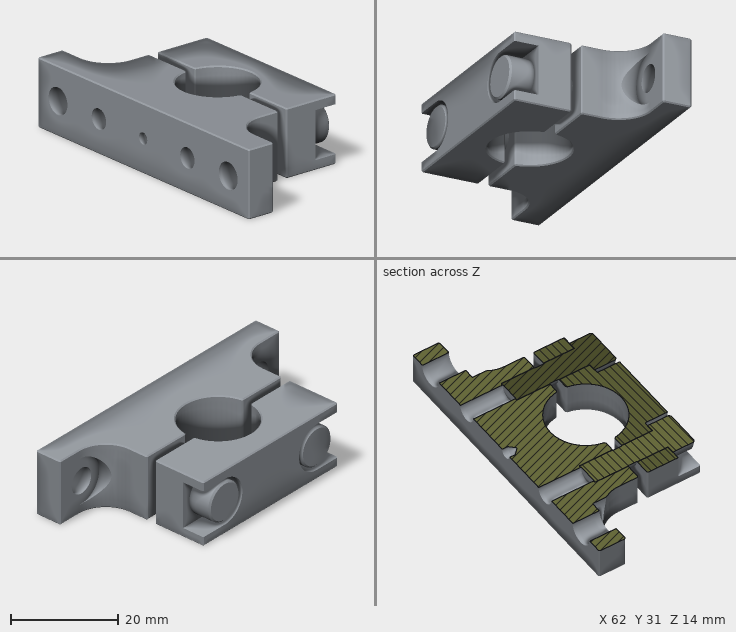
import cadquery as cq
import math


foot_length = 62.0
thickness = 14.0
block_width = 38.0
gap = 2.0
cap_depth = 12.0
base_depth = 17.0
foot_depth = 6.0
edge_chamfer = 0.25

bore_diameter = 16.0
blend_radius = 6.5

mount_spacing = 50.0
mount_diameter = 5.5
spotface_diameter = 10.0
pilot_diameter = 2.4
pilot_depth = 1.25
drill_point_angle = 90.0

screw_spacing = 26.0
shank_diameter = 5.0
head_diameter = 8.5
head_height = 5.0
head_chamfer = 0.4
thread_engagement = 7.45
tap_drill_diameter = 4.2
head_slot_width = 10.0
head_slot_depth = head_height

gap_front = -gap / 2
gap_back = gap / 2
base_bottom = gap_front - base_depth
foot_top = base_bottom + foot_depth
cap_top = gap_back + cap_depth
screw_seat = cap_top - head_slot_depth
screw_tip = gap_front - thread_engagement

mount_xs = (-mount_spacing / 2, mount_spacing / 2)
screw_xs = (-screw_spacing / 2, screw_spacing / 2)


def slab(width, y_start, y_end):
    """Block centred on X and Z that spans y_start to y_end."""
    depth = y_end - y_start
    return cq.Workplane("XY").box(width, depth, thickness).translate((0, y_start + depth / 2, 0))


def rod(diameter, x, y_start, y_end):
    """Cylinder parallel to Y, at height Z = 0."""
    axis_start = cq.Vector(x, y_start, 0)
    return cq.Workplane(cq.Solid.makeCylinder(diameter / 2, y_end - y_start, axis_start, cq.Vector(0, 1, 0)))


def cut_bore(body):
    """Cut the shaft bore along Z."""
    return body.cut(cq.Workplane("XY").circle(bore_diameter / 2).extrude(thickness, both=True))


def chamfer_faces(body):
    """Chamfer the outlines of the two faces across Z."""
    return body.faces("<Z or >Z").edges().chamfer(edge_chamfer)


def pilot_hole():
    """Blind drilled hole in the middle of the foot, with a conical bottom."""
    radius = pilot_diameter / 2
    point_length = radius / math.tan(math.radians(drill_point_angle / 2))
    cone_start = base_bottom + pilot_depth
    profile = (
        cq.Workplane("XY")
        .moveTo(0, base_bottom)
        .lineTo(radius, base_bottom)
        .lineTo(radius, cone_start)
        .lineTo(0, cone_start + point_length)
        .close()
    )
    return profile.revolve(360, (0, 0, 0), (0, 1, 0))


def make_base():
    """Flanged lower half with mounting holes, screw holes and a pilot hole."""
    foot = slab(foot_length, base_bottom, foot_top)
    block = slab(block_width, base_bottom, gap_front)
    body = cut_bore(foot.union(block))

    inner_corners = cq.selectors.BoxSelector(
        (-block_width / 2 - edge_chamfer, foot_top - edge_chamfer, -thickness),
        (block_width / 2 + edge_chamfer, foot_top + edge_chamfer, thickness),
    )
    upright_edges = cq.selectors.ParallelDirSelector(cq.Vector(0, 0, 1))
    body = body.edges(upright_edges - inner_corners).chamfer(edge_chamfer)
    body = body.edges(upright_edges & inner_corners).fillet(blend_radius)
    body = chamfer_faces(body)

    for x in mount_xs:
        body = body.cut(rod(mount_diameter, x, base_bottom, foot_top))
        body = body.cut(rod(spotface_diameter, x, foot_top, gap_front))
    for x in screw_xs:
        body = body.cut(rod(tap_drill_diameter, x, base_bottom, screw_tip))
        body = body.cut(rod(shank_diameter, x, screw_tip, gap_front))
    return body.cut(pilot_hole())


def make_cap():
    """Upper half with screw holes and side-opening slots for the screw heads."""
    body = cut_bore(slab(block_width, gap_back, cap_top))
    body = chamfer_faces(body.edges("|Z").chamfer(edge_chamfer))

    for x in screw_xs:
        side_x = math.copysign(block_width / 2, x)
        open_slot = cq.Workplane("XY").box(abs(side_x - x), head_slot_depth, head_slot_width)
        open_slot = open_slot.translate(((x + side_x) / 2, screw_seat + head_slot_depth / 2, 0))
        body = body.cut(open_slot)
        body = body.cut(rod(head_slot_width, x, screw_seat, cap_top))
        body = body.cut(rod(shank_diameter, x, gap_back, screw_seat))
    return body


def make_screw(x):
    """Screw with a cylindrical head, seated in the cap and reaching into the base."""
    head = rod(head_diameter, x, screw_seat, screw_seat + head_height)
    head = head.faces(">Y").edges().chamfer(head_chamfer)
    return head.union(rod(shank_diameter, x, screw_tip, screw_seat))


base = make_base()
cap = make_cap()
screws = [make_screw(x) for x in screw_xs]

result = cq.Compound.makeCompound([base.val(), cap.val(), *[screw.val() for screw in screws]])